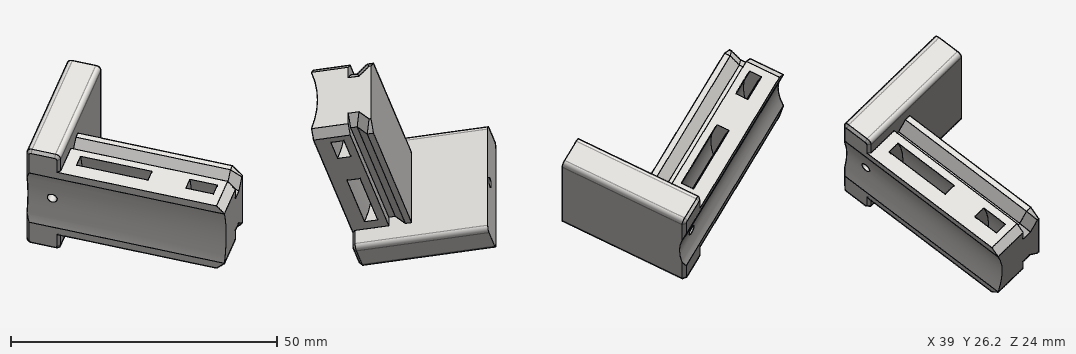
import cadquery as cq
import math

LENGTH = 39.0
HEAD_THICKNESS = 6.63
HEAD_DEPTH = 26.2
HEAD_HEIGHT = 24.0
HEAD_CORNER_RADIUS = 1.0
HEAD_FRONT_CHAMFER = 0.6

BAR_HEIGHT = 16.0
BAR_DEPTH = 7.1
NECK_END = 8.35
FLARE = 1.95
FLARE_ANGLE = 45.0
ARM_DEPTH = 11.5
BAR_END_CHAMFER = 1.55
RAIL_END_CHAMFER = 2.0

TROUGH_WIDTH = 12.65
TROUGH_DEPTH = 1.15
SLOT_INNER_OFFSET = 3.4
SLOT_THICKNESS = 2.38
SLOT_SPANS = [(9.0, 23.05), (30.5, 35.9)]

PIN_DIAMETER = 1.9
PIN_X = 4.8

trough_radius = ((TROUGH_WIDTH / 2) ** 2 + TROUGH_DEPTH**2) / (2 * TROUGH_DEPTH)
trough_axis_y = TROUGH_DEPTH - trough_radius


def make_head():
    """Upright plate with rounded long edges and a chamfered front face."""
    head = cq.Workplane("XY").box(
        HEAD_THICKNESS, HEAD_DEPTH, HEAD_HEIGHT, centered=(False, False, True)
    )
    head = head.edges("|Y").fillet(HEAD_CORNER_RADIUS)
    return head.faces("<Y").chamfer(HEAD_FRONT_CHAMFER)


def make_bar():
    """Front bar with its upper and lower free ends chamfered."""
    start = HEAD_THICKNESS / 2
    bar = cq.Workplane("XY", origin=(start, 0, 0)).box(
        LENGTH - start, BAR_DEPTH, BAR_HEIGHT, centered=(False, False, True)
    )
    return bar.edges(">X and |Y").chamfer(BAR_END_CHAMFER)


def rail_section(inset, x):
    """Neck and flared rail outline at x, with its sides moved inwards by inset."""
    top = BAR_HEIGHT / 2 - inset
    neck = top - FLARE * math.tan(math.radians(FLARE_ANGLE))
    flare_shift = inset * math.tan(math.radians(FLARE_ANGLE / 2))
    flare_start = NECK_END + flare_shift
    flare_end = flare_start + FLARE
    upper = [(BAR_DEPTH, neck), (flare_start, neck), (flare_end, top), (ARM_DEPTH, top)]
    lower = [(y, -z) for y, z in reversed(upper)]
    return cq.Workplane("YZ", origin=(x, 0, 0)).polyline(upper + lower).close()


def make_rail():
    """Straight rail followed by a tapered end that chamfers its top, flare and neck."""
    start = HEAD_THICKNESS / 2
    taper_start = LENGTH - RAIL_END_CHAMFER
    straight = rail_section(0, start).extrude(taper_start - start)
    start_wire = rail_section(0, taper_start).wire().val()
    end_wire = rail_section(RAIL_END_CHAMFER, LENGTH).wire().val()
    return straight.union(cq.Workplane(cq.Solid.makeLoft([start_wire, end_wire], True)))


def coaxial_cylinder(radius, x_start, x_end):
    """Cylinder along X on the axis of the trough."""
    plane = cq.Workplane("YZ", origin=(x_start, trough_axis_y, 0))
    return plane.circle(radius).extrude(x_end - x_start)


def strap_slot(x_start, x_end):
    """Curved slot that follows the trough from the top of the bar to its underside."""
    inner_radius = trough_radius + SLOT_INNER_OFFSET
    outer = coaxial_cylinder(inner_radius + SLOT_THICKNESS, x_start, x_end)
    return outer.cut(coaxial_cylinder(inner_radius, x_start, x_end))


def pin_hole():
    """Round hole through the full depth of the head."""
    plane = cq.Workplane("XZ", origin=(PIN_X, 0, 0))
    return plane.circle(PIN_DIAMETER / 2).extrude(-HEAD_DEPTH)


result = make_head().union(make_bar()).union(make_rail())
result = result.cut(coaxial_cylinder(trough_radius, 0, LENGTH))
for slot_start, slot_end in SLOT_SPANS:
    result = result.cut(strap_slot(slot_start, slot_end))
result = result.cut(pin_hole())